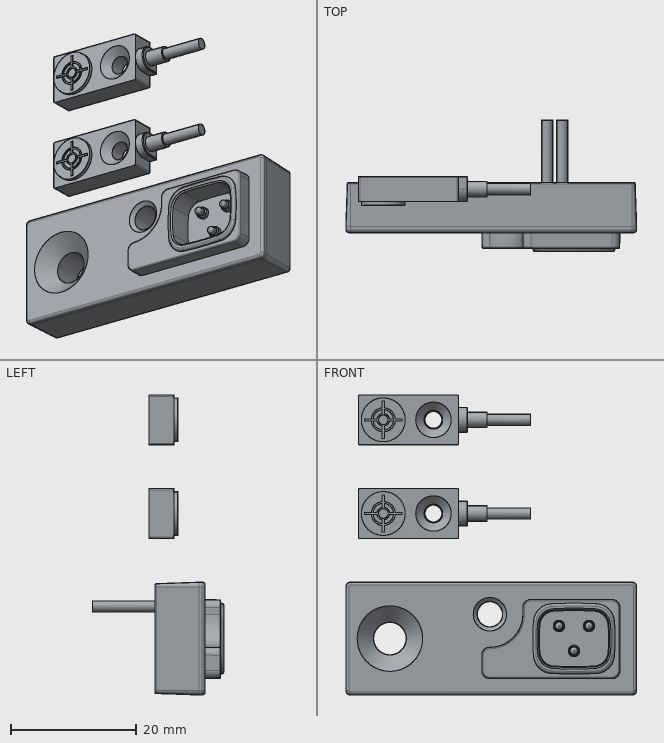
import cadquery as cq
import math


block_width = 46.5
block_height = 18.05
block_depth = 8.0
block_corner_radius = 0.75
block_front_radius = 0.5
block_back_radius = 0.25
straight_band_depth = 0.95
block_draft = 2.0

large_hole_x = 7.05
large_hole_z = block_height / 2
large_hole_diameter = 5.2
large_countersink_diameter = 10.45
small_hole_x = 23.05
small_hole_z = 12.9
small_hole_diameter = 4.05
small_countersink_diameter = 5.35

platform_left = 21.75
platform_right = 43.8
platform_bottom = 2.65
platform_top = 15.25
platform_height = 2.5
platform_clearance_radius = 5.3
platform_corner_radius = 1.25
platform_edge_radius = 0.2
platform_draft = 1.0

connector_x = 36.5
connector_z = block_height / 2
rim_width = 13.2
rim_height = 11.35
rim_front_y = -3.0
rim_corner_radius = 3.05
rim_edge_radius = 0.45
side_bulge = 0.5
top_bulge = 0.25
socket_floor_width = 11.15
socket_floor_height = 9.0
socket_depth = 4.25
socket_corner_radius = 2.3
socket_draft = 2.0
socket_chamfer = 0.25

pin_spacing = 4.8
upper_pin_rise = 2.0
lower_pin_drop = 1.95
pin_collar_diameter = 1.8
pin_collar_length = 0.8
pin_collar_chamfer = 0.2
pin_diameter = 1.25
pin_tip_radius = 0.55
pin_length = 1.9

cable_diameter = 1.8
housing_cable_length = 10.0
housing_cable_pitch = 2.4
housing_cable_middle_x = 33.4
housing_cable_z = 14.15

sensor_count = 2
sensor_pitch = 15.0
sensor_left = 2.0
sensor_length = 16.05
sensor_height = 8.0
sensor_front_y = 5.0
sensor_depth = 4.0
sensor_top_z = 48.0
top_sensor_z = sensor_top_z - sensor_height / 2
sensor_edge_radius = 0.25

sensing_disc_x = 6.0
sensing_disc_diameter = 7.0
sensing_disc_height = 0.6
target_depth = 0.1
target_inner_ring_radii = (0.75, 1.0)
target_outer_ring_radii = (1.65, 1.9)
target_arm_reach = 3.0
target_arm_width = 0.35

sensor_hole_x = 14.0
sensor_countersink_diameter = 5.65
sensor_hole_front_diameter = 3.0
sensor_hole_back_diameter = 2.7

collar_diameter = sensor_depth
collar_end_x = 19.5
collar_chamfer = 0.15
relief_diameter = 2.5
relief_end_x = 22.6
sensor_cable_end_x = 29.55


def facing_front(y, x=0, z=0):
    """Sketch plane whose normal points to -Y, with its origin at the given point."""
    return cq.Workplane("XZ", origin=(x, y, z))


def facing_back(y, x=0, z=0):
    """Sketch plane whose normal points to +Y; its second axis points down."""
    return cq.Workplane("XZ", origin=(x, y, z)).transformed(rotate=(180, 0, 0))


def cone_along_y(x, z, front_y, back_y, front_diameter, back_diameter):
    """Solid cone with its axis along Y."""
    return cq.Workplane(
        cq.Solid.makeCone(
            front_diameter / 2,
            back_diameter / 2,
            back_y - front_y,
            cq.Vector(x, front_y, z),
            cq.Vector(0, 1, 0),
        )
    )


def make_block():
    """Block with a straight band at the front and drafted sides behind it."""
    centre = (block_width / 2, block_height / 2)
    profile = cq.Sketch().rect(block_width, block_height).vertices().fillet(block_corner_radius)
    band = facing_front(straight_band_depth, centre[0], centre[1]).placeSketch(profile)
    band = band.extrude(straight_band_depth)
    drafted = facing_back(straight_band_depth, centre[0], centre[1]).placeSketch(profile)
    drafted = drafted.extrude(block_depth - straight_band_depth, taper=block_draft)
    block = band.union(drafted)
    block = block.faces("<Y").edges().fillet(block_front_radius)
    return block.faces(">Y").edges().fillet(block_back_radius)


def make_screw_hole(x, z, diameter, countersink_diameter):
    """Straight bore through the block with a 90 degree countersink at the front."""
    countersink_depth = (countersink_diameter - diameter) / 2
    bore = facing_back(0, x, z).circle(diameter / 2).extrude(block_depth)
    return bore.union(cone_along_y(x, z, 0, countersink_depth, countersink_diameter, diameter))


def drill_block(block):
    """The two countersunk screw holes."""
    large_hole = make_screw_hole(large_hole_x, large_hole_z, large_hole_diameter, large_countersink_diameter)
    small_hole = make_screw_hole(small_hole_x, small_hole_z, small_hole_diameter, small_countersink_diameter)
    return block.cut(large_hole).cut(small_hole)


def make_platform():
    """Raised connector platform with a quarter-circle clearance around the small hole."""
    step_x = small_hole_x + platform_clearance_radius
    ledge_z = small_hole_z - platform_clearance_radius
    diagonal = platform_clearance_radius * math.sqrt(0.5)
    platform = (
        facing_front(0)
        .moveTo(platform_left, platform_bottom)
        .lineTo(platform_right, platform_bottom)
        .lineTo(platform_right, platform_top)
        .lineTo(step_x, platform_top)
        .lineTo(step_x, small_hole_z)
        .threePointArc((small_hole_x + diagonal, small_hole_z - diagonal), (small_hole_x, ledge_z))
        .lineTo(platform_left, ledge_z)
        .close()
        .extrude(platform_height, taper=platform_draft)
    )
    corners = [
        (platform_left, platform_bottom),
        (platform_right, platform_bottom),
        (platform_right, platform_top),
        (step_x, platform_top),
        (platform_left, ledge_z),
    ]
    for x, z in corners:
        edge = cq.selectors.NearestToPointSelector((x, -platform_height / 2, z))
        platform = platform.edges(edge).fillet(platform_corner_radius)
    return platform.faces("<Y").edges().fillet(platform_edge_radius)


def bulged_profile(width, height, corner_radius):
    """Rounded rectangle whose four sides bulge outwards."""
    side_x = width / 2
    top_z = height / 2
    corner_x = side_x - side_bulge
    corner_z = top_z - top_bulge
    return (
        cq.Sketch()
        .arc((-corner_x, -corner_z), (0, -top_z), (corner_x, -corner_z))
        .arc((corner_x, -corner_z), (side_x, 0), (corner_x, corner_z))
        .arc((corner_x, corner_z), (0, top_z), (-corner_x, corner_z))
        .arc((-corner_x, corner_z), (-side_x, 0), (-corner_x, -corner_z))
        .assemble()
        .vertices()
        .fillet(corner_radius)
    )


def make_rim():
    """Rounded frame standing on the platform."""
    profile = bulged_profile(rim_width, rim_height, rim_corner_radius)
    rim = facing_front(0, connector_x, connector_z).placeSketch(profile).extrude(-rim_front_y)
    return rim.faces("<Y").edges().fillet(rim_edge_radius)


def make_socket():
    """Socket cavity, widening from its floor to its mouth."""
    profile = bulged_profile(socket_floor_width, socket_floor_height, socket_corner_radius)
    floor = facing_front(rim_front_y + socket_depth, connector_x, connector_z).placeSketch(profile)
    return floor.extrude(socket_depth, taper=-socket_draft)


def chamfer_socket_mouth(housing):
    """Chamfer along the inner edge of the rim's front face."""
    mouth_edges = housing.faces("<Y").val().innerWires()[0].Edges()
    return housing.newObject(mouth_edges).chamfer(socket_chamfer)


def make_pin(x, z):
    """Contact pin with a chamfered collar and a domed tip."""
    floor = facing_front(rim_front_y + socket_depth, x, z)
    collar = floor.circle(pin_collar_diameter / 2).extrude(pin_collar_length)
    collar = collar.faces("<Y").edges().chamfer(pin_collar_chamfer)
    shank = floor.circle(pin_diameter / 2).extrude(pin_length)
    shank = shank.faces("<Y").edges().fillet(pin_tip_radius)
    return collar.union(shank)


def make_housing():
    """Block, connector, contact pins and the two cable stubs as one solid."""
    housing = drill_block(make_block()).union(make_platform()).union(make_rim()).cut(make_socket())
    housing = chamfer_socket_mouth(housing)
    upper_z = connector_z + upper_pin_rise
    pin_places = [
        (connector_x - pin_spacing / 2, upper_z),
        (connector_x + pin_spacing / 2, upper_z),
        (connector_x, connector_z - lower_pin_drop),
    ]
    for x, z in pin_places:
        housing = housing.union(make_pin(x, z))
    for side in (-1, 1):
        cable_x = housing_cable_middle_x + side * housing_cable_pitch / 2
        cable = facing_back(block_depth, cable_x, housing_cable_z).circle(cable_diameter / 2)
        housing = housing.union(cable.extrude(housing_cable_length))
    return housing


def make_target(z):
    """Crosshair grooves in the sensing disc: two rings joined by four arms."""
    start_y = sensor_front_y - sensing_disc_height + target_depth
    target = facing_front(start_y, sensing_disc_x, z).rect(2 * target_arm_reach, target_arm_width)
    target = target.extrude(target_depth)
    upright = facing_front(start_y, sensing_disc_x, z).rect(target_arm_width, 2 * target_arm_reach)
    target = target.union(upright.extrude(target_depth))
    hub_radius = target_inner_ring_radii[0]
    target = target.cut(facing_front(start_y, sensing_disc_x, z).circle(hub_radius).extrude(target_depth))
    for inner, outer in (target_inner_ring_radii, target_outer_ring_radii):
        ring = facing_front(start_y, sensing_disc_x, z).circle(outer).circle(inner)
        target = target.union(ring.extrude(target_depth))
    return target


def make_sensor_hole(z):
    """Countersunk hole that narrows slightly towards the back."""
    back_y = sensor_front_y + sensor_depth
    cone_depth = (sensor_countersink_diameter - sensor_hole_front_diameter) / 2
    cone_end_y = sensor_front_y + cone_depth
    countersink = cone_along_y(
        sensor_hole_x, z, sensor_front_y, cone_end_y, sensor_countersink_diameter, sensor_hole_front_diameter
    )
    bore = cone_along_y(
        sensor_hole_x, z, cone_end_y, back_y, sensor_hole_front_diameter, sensor_hole_back_diameter
    )
    return countersink.union(bore)


def make_cable_exit(z):
    """Collar with a round front and a square back, strain relief and cable along +X."""
    start_x = sensor_left + sensor_length
    axis_y = sensor_front_y + sensor_depth / 2
    start = cq.Workplane("YZ", origin=(start_x, axis_y, z))
    collar = start.circle(collar_diameter / 2).extrude(collar_end_x - start_x)
    square_back = start.center(collar_diameter / 4, 0).rect(collar_diameter / 2, collar_diameter)
    collar = collar.union(square_back.extrude(collar_end_x - start_x))
    collar = collar.faces(">X").edges().chamfer(collar_chamfer)
    relief_start = cq.Workplane("YZ", origin=(collar_end_x, axis_y, z))
    relief = relief_start.circle(relief_diameter / 2).extrude(relief_end_x - collar_end_x)
    cable_start = cq.Workplane("YZ", origin=(relief_end_x, axis_y, z))
    cable = cable_start.circle(cable_diameter / 2).extrude(sensor_cable_end_x - relief_end_x)
    return collar.union(relief).union(cable)


def make_sensor(z):
    """Sensor with its axis at height z."""
    body = facing_back(sensor_front_y, sensor_left + sensor_length / 2, z)
    body = body.rect(sensor_length, sensor_height).extrude(sensor_depth)
    body = body.edges("|Y").fillet(sensor_edge_radius)
    disc = facing_front(sensor_front_y, sensing_disc_x, z).circle(sensing_disc_diameter / 2)
    body = body.union(disc.extrude(sensing_disc_height))
    body = body.cut(make_target(z)).cut(make_sensor_hole(z))
    return body.union(make_cable_exit(z))


housing = make_housing()
sensors = [make_sensor(top_sensor_z - row * sensor_pitch) for row in range(sensor_count)]

result = cq.Compound.makeCompound([housing.val(), *[sensor.val() for sensor in sensors]])